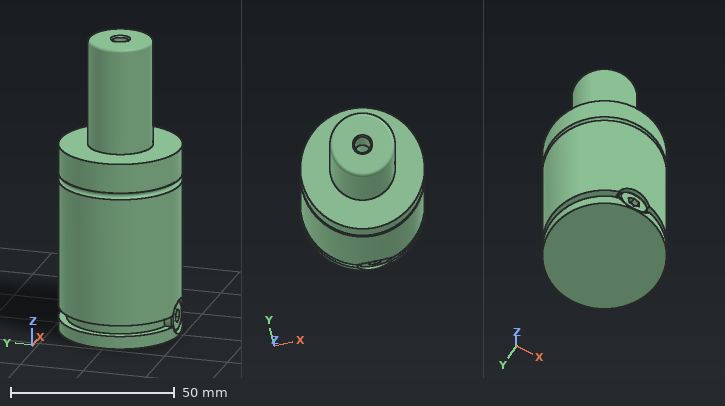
import cadquery as cq
import math

total_height = 94.0
body_diameter = 38.0
body_height = 60.0
rod_diameter = 20.0
rod_edge_radius = 1.0

wire_groove_height = 49.5
wire_groove_radius = 1.0

clamp_groove_bottom = 4.1
clamp_groove_top = 7.6
clamp_groove_diameter = 33.1

rod_hole_diameter = 5.0
rod_hole_mouth_diameter = 6.0
rod_hole_depth = 12.2
drill_point_angle = 118.0

plug_height = 6.0
plug_diameter = 10.0
plug_face_distance = 18.1
plug_chamfer = 0.5
pocket_diameter = 11.0
pocket_floor_distance = 15.0
hex_across_corners = 4.2
hex_depth = 2.0

body_radius = body_diameter / 2


def make_body():
    """Cylinder body with its wire groove and clamping groove."""
    body = cq.Workplane("XY").circle(body_radius).extrude(body_height)
    wire_groove = (
        cq.Workplane("XZ")
        .center(body_radius, wire_groove_height)
        .circle(wire_groove_radius)
        .revolve(360, (-body_radius, 0), (-body_radius, 1))
    )
    clamp_groove = (
        cq.Workplane("XY", origin=(0, 0, clamp_groove_bottom))
        .circle(body_diameter)
        .circle(clamp_groove_diameter / 2)
        .extrude(clamp_groove_top - clamp_groove_bottom)
    )
    return body.cut(wire_groove).cut(clamp_groove)


def make_rod():
    """Piston rod with a rounded end and a blind, chamfered, drilled hole."""
    rod = (
        cq.Workplane("XY", origin=(0, 0, body_height))
        .circle(rod_diameter / 2)
        .extrude(total_height - body_height)
        .faces(">Z")
        .edges()
        .fillet(rod_edge_radius)
    )
    hole_radius = rod_hole_diameter / 2
    mouth_radius = rod_hole_mouth_diameter / 2
    hole_bottom = total_height - rod_hole_depth
    half_angle = math.radians(drill_point_angle / 2)
    point_depth = hole_radius / math.tan(half_angle)
    hole = (
        cq.Workplane("XZ")
        .moveTo(0, total_height)
        .lineTo(mouth_radius, total_height)
        .lineTo(hole_radius, total_height - (mouth_radius - hole_radius))
        .lineTo(hole_radius, hole_bottom)
        .lineTo(0, hole_bottom - point_depth)
        .close()
        .revolve(360, (0, 0), (0, 1))
    )
    return rod.cut(hole)


def plug_plane(distance):
    """Plane facing -Y on the plug axis, at a distance from the body axis."""
    return cq.Workplane("XZ", origin=(0, -distance, plug_height))


def make_pocket():
    """Round clearance around the plug, open to the outside of the body."""
    depth = body_radius - pocket_floor_distance
    return plug_plane(pocket_floor_distance).circle(pocket_diameter / 2).extrude(depth)


def make_plug():
    """Chamfered plug with a hexagon socket whose corners point up and down."""
    plug = (
        plug_plane(pocket_floor_distance)
        .circle(plug_diameter / 2)
        .extrude(plug_face_distance - pocket_floor_distance)
        .faces("<Y")
        .edges()
        .chamfer(plug_chamfer)
    )
    socket = (
        plug_plane(plug_face_distance - hex_depth)
        .transformed(rotate=(0, 0, 90))
        .polygon(6, hex_across_corners)
        .extrude(hex_depth)
    )
    return plug.cut(socket)


result = make_body().union(make_rod()).cut(make_pocket()).union(make_plug())